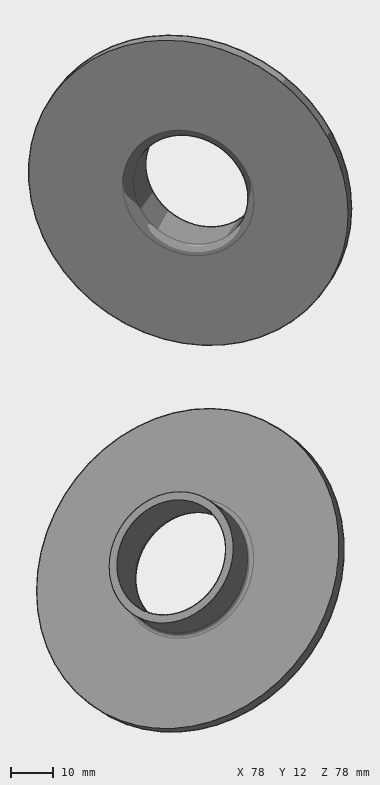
import cadquery as cq

flange_diameter = 78.0
flange_thickness = 3.0

total_depth = 12.0
collar_diameter = 32.0
bore_diameter = 28.0

bore_mouth_radius = 2.0
collar_root_radius = 1.0


def cylinder_along_y(diameter, length):
    """Solid cylinder from the flange face (Y = 0) toward +Y."""
    return cq.Workplane("XZ").circle(diameter / 2).extrude(-length)


flange = cylinder_along_y(flange_diameter, flange_thickness)
collar = cylinder_along_y(collar_diameter, total_depth)
body = flange.union(collar)
root_edge = cq.selectors.BoxSelector(
    (-collar_diameter, flange_thickness / 2, -collar_diameter),
    (collar_diameter, (flange_thickness + total_depth) / 2, collar_diameter),
)
body = body.edges(cq.selectors.RadiusNthSelector(0)).edges(root_edge).fillet(collar_root_radius)

body = body.cut(cylinder_along_y(bore_diameter, total_depth))
result = body.faces("<Y").edges(cq.selectors.RadiusNthSelector(0)).fillet(bore_mouth_radius)